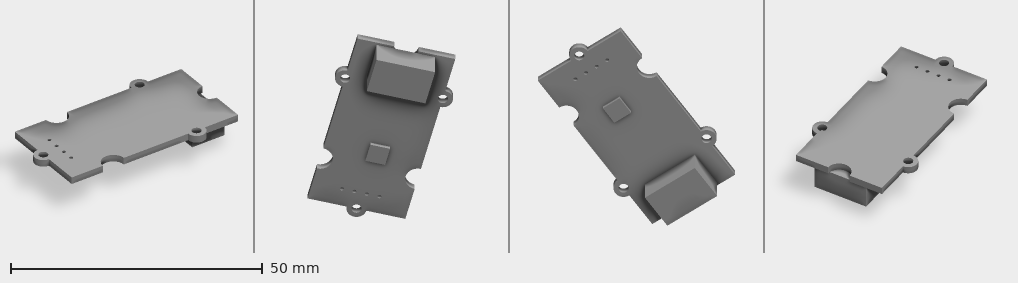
import cadquery as cq

OVERALL_LENGTH = 42

BOARD_WIDTH = OVERALL_LENGTH / 2.1
BOARD_LENGTH = 2 * BOARD_WIDTH
BOARD_THICKNESS = 1.55

EAR_RADIUS = BOARD_WIDTH / 10
EAR_HOLE_RADIUS = EAR_RADIUS / 2

NOTCH_RADIUS = BOARD_WIDTH / 8

PIN_COUNT = 4
PIN_PITCH = 2.55
PIN_HOLE_DIAMETER = 0.8
PIN_ROW_X = 0.15
PIN_ROW_Y = -16.05

CONNECTOR_WIDTH = 12.0
CONNECTOR_DEPTH = 7.8
CONNECTOR_HEIGHT = 5.25
CONNECTOR_SETBACK = 0.5

CHIP_SIDE = 4.05
CHIP_HEIGHT = 0.75
CHIP_X = -0.7
CHIP_Y = -5.8

EDGE_X = BOARD_WIDTH / 2
EDGE_Y = BOARD_LENGTH / 2
EAR_CENTRES = [(-EDGE_X, EDGE_Y / 2), (EDGE_X, EDGE_Y / 2), (0, -EDGE_Y)]
NOTCH_CENTRES = [(-EDGE_X, -EDGE_Y / 2), (EDGE_X, -EDGE_Y / 2), (0, EDGE_Y)]
PIN_ROW_START = PIN_ROW_X - PIN_PITCH * (PIN_COUNT - 1) / 2
PIN_CENTRES = [(PIN_ROW_START + i * PIN_PITCH, PIN_ROW_Y) for i in range(PIN_COUNT)]


def board_discs(centres, radius):
    """Discs as thick as the board, one at each centre."""
    return cq.Workplane("XY").pushPoints(centres).circle(radius).extrude(BOARD_THICKNESS)


def make_board():
    """Board with its ears, edge notches and through holes."""
    plate = cq.Workplane("XY").rect(BOARD_WIDTH, BOARD_LENGTH).extrude(BOARD_THICKNESS)
    plate = plate.union(board_discs(EAR_CENTRES, EAR_RADIUS))
    plate = plate.cut(board_discs(EAR_CENTRES, EAR_HOLE_RADIUS))
    plate = plate.cut(board_discs(NOTCH_CENTRES, NOTCH_RADIUS))
    return plate.cut(board_discs(PIN_CENTRES, PIN_HOLE_DIAMETER / 2))


def make_underside_block(width, depth, height, x, y):
    """Plain block whose top face rests against the board's underside."""
    return cq.Workplane("XY").center(x, y).rect(width, depth).extrude(-height)


def make_connector():
    """Connector housing, set back slightly from the board's +Y edge."""
    centre_y = EDGE_Y - CONNECTOR_SETBACK - CONNECTOR_DEPTH / 2
    return make_underside_block(CONNECTOR_WIDTH, CONNECTOR_DEPTH, CONNECTOR_HEIGHT, 0, centre_y)


def make_chip():
    """Flat square chip near the middle of the board."""
    return make_underside_block(CHIP_SIDE, CHIP_SIDE, CHIP_HEIGHT, CHIP_X, CHIP_Y)


board = make_board()
connector = make_connector()
chip = make_chip()

result = cq.Compound.makeCompound([board.val(), connector.val(), chip.val()])